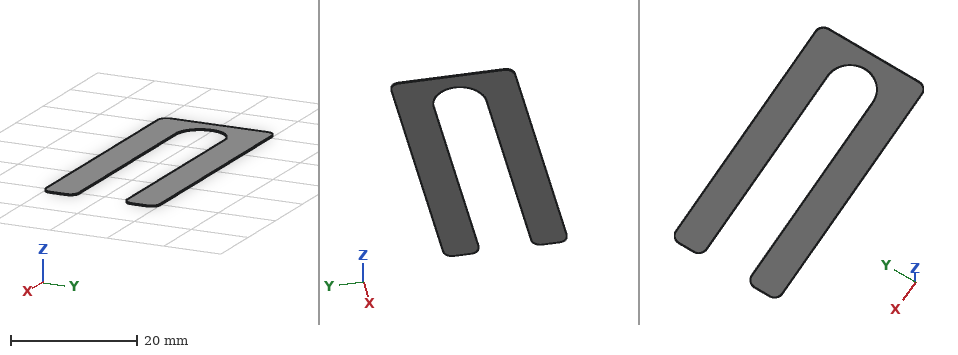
import cadquery as cq

length = 44.0
width = 20.0
thickness = 0.25
slot_width = 8.5
web = 2.75
corner_radius = 1.5

slot_radius = slot_width / 2
slot_center_x = -length / 2 + web + slot_radius
prong_width = (width - slot_width) / 2
prong_offset = (slot_width + prong_width) / 2


def rounded_blank():
    """Plate behind the slot centre, with rounded corners at the closed end."""
    blank_length = slot_center_x + length / 2
    return (
        cq.Workplane("XY")
        .box(blank_length, width, thickness)
        .translate((slot_center_x - blank_length / 2, 0, 0))
        .edges("|Z and <X")
        .fillet(corner_radius)
    )


def prong(center_y):
    """Straight leg with both corners of its free end rounded."""
    prong_length = length / 2 - slot_center_x
    return (
        cq.Workplane("XY")
        .box(prong_length, prong_width, thickness)
        .translate((slot_center_x + prong_length / 2, center_y, 0))
        .edges("|Z and >X")
        .fillet(corner_radius)
    )


def slot_end():
    """Round closed end of the slot."""
    return (
        cq.Workplane("XY")
        .center(slot_center_x, 0)
        .circle(slot_radius)
        .extrude(thickness, both=True)
    )


result = rounded_blank().cut(slot_end())
for side in (-1, 1):
    result = result.union(prong(side * prong_offset))
result = result.clean()